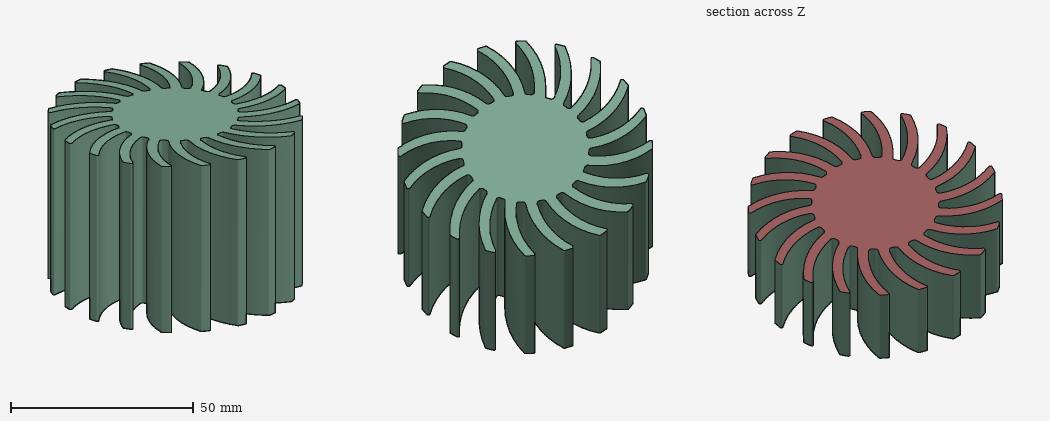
import cadquery as cq
import math

outer_radius = 35.0
height = 50.0
core_radius = 17.5
fin_count = 20
root_fillet = 0.85
tip_fillet = 0.5
fin_overlap = 0.7

convex_side = (15.45, 21.5, 23.0)
concave_side = (15.4, 23.1, 21.5)


def point_on_side(side, distance):
    """Point of a fin side at the given distance from the part axis."""
    center_x, center_y, radius = side
    center_distance = math.hypot(center_x, center_y)
    cosine = (distance**2 + center_distance**2 - radius**2) / (2 * distance * center_distance)
    angle = math.atan2(center_y, center_x) - math.acos(cosine)
    return distance * math.cos(angle), distance * math.sin(angle)


def make_fin():
    """One curved, tapering fin, ending on the outer cylinder with rounded corners."""
    foot_radius = core_radius - fin_overlap
    middle_radius = (foot_radius + outer_radius) / 2
    convex_tip = point_on_side(convex_side, outer_radius)
    concave_tip = point_on_side(concave_side, outer_radius)
    tip_angle = (math.atan2(*convex_tip[::-1]) + math.atan2(*concave_tip[::-1])) / 2
    tip_middle = (outer_radius * math.cos(tip_angle), outer_radius * math.sin(tip_angle))
    fin = (
        cq.Workplane("XY")
        .moveTo(*point_on_side(convex_side, foot_radius))
        .threePointArc(point_on_side(convex_side, middle_radius), convex_tip)
        .threePointArc(tip_middle, concave_tip)
        .threePointArc(
            point_on_side(concave_side, middle_radius), point_on_side(concave_side, foot_radius)
        )
        .close()
        .extrude(height)
    )
    tip_corners = [
        edge
        for edge in fin.edges("|Z").vals()
        if math.hypot(edge.Center().x, edge.Center().y) > middle_radius
    ]
    return fin.newObject(tip_corners).fillet(tip_fillet)


def round_fin_roots(body):
    """Round the corners where the fin sides meet the core."""
    root_limit = core_radius + fin_overlap
    root_corners = [
        edge
        for edge in body.edges("|Z").vals()
        if math.hypot(edge.Center().x, edge.Center().y) < root_limit
    ]
    return body.newObject(root_corners).fillet(root_fillet)


body = cq.Workplane("XY").circle(core_radius).extrude(height)
fin = make_fin()
for index in range(fin_count):
    body = body.union(fin.rotate((0, 0, 0), (0, 0, 1), index * 360 / fin_count))

result = round_fin_roots(body)